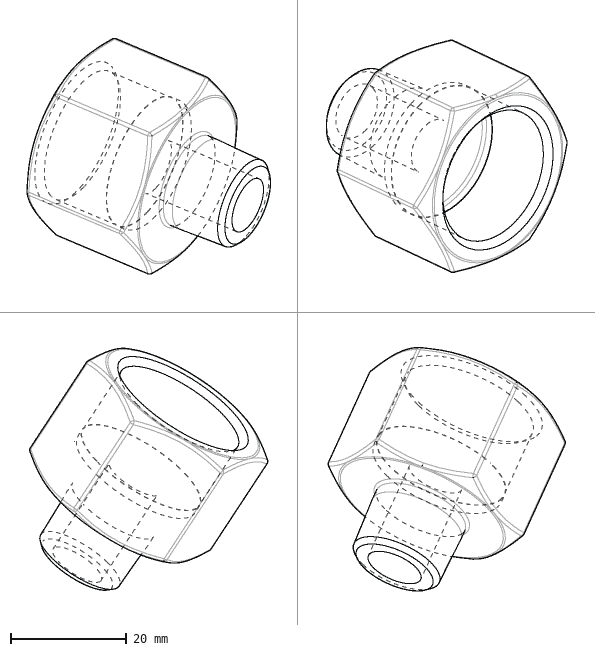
import cadquery as cq
import math

ACROSS_CORNERS = 36.73
HEX_LENGTH = 23.0
EDGE_ROUND = 0.7
END_BEVEL_ANGLE = 30.0
END_FACE_DIAMETER = 30.95
BEVEL_OVERRUN = 0.35

SPIGOT_LENGTH = 12.52
SPIGOT_DIAMETER = 16.9
SPIGOT_STRAIGHT_LENGTH = 2.4
SPIGOT_ROOT_ROUND = 0.5
SPIGOT_TIP_CHAMFER = 0.9
TAPER_ON_DIAMETER = 1 / 16

BORE_DIAMETER = 24.13
BORE_DEPTH = 16.1
BORE_MOUTH_DIAMETER = 26.52
RELIEF_DIAMETER = 24.3
RELIEF_LENGTH = 2.0
RELIEF_FLOOR_ROUND = 0.5

PASSAGE_DIAMETER = 10.0
PASSAGE_EDGE_ROUND = 0.7

TOTAL_LENGTH = HEX_LENGTH + SPIGOT_LENGTH

CORNER_LOSS = 1 / math.cos(math.radians(30)) - 1
SHARP_ACROSS_CORNERS = ACROSS_CORNERS + 2 * EDGE_ROUND * CORNER_LOSS


def revolve_about_x(profile):
    """Turn a closed (x, z) profile in the XZ plane around the X axis, z being the radius."""
    return profile.close().revolve(360, (0, 0, 0), (1, 0, 0))


def make_hex_body():
    hexagon = cq.Workplane("YZ").polygon(6, SHARP_ACROSS_CORNERS).extrude(HEX_LENGTH)
    face_radius = END_FACE_DIAMETER / 2
    corner_radius = SHARP_ACROSS_CORNERS / 2 + BEVEL_OVERRUN
    bevel_depth = (corner_radius - face_radius) * math.tan(math.radians(END_BEVEL_ANGLE))
    bevel_envelope = revolve_about_x(
        cq.Workplane("XZ")
        .lineTo(0, face_radius)
        .lineTo(bevel_depth, corner_radius)
        .lineTo(HEX_LENGTH - bevel_depth, corner_radius)
        .lineTo(HEX_LENGTH, face_radius)
        .lineTo(HEX_LENGTH, 0)
    )
    return hexagon.intersect(bevel_envelope).edges().fillet(EDGE_ROUND)


def make_spigot():
    radius = SPIGOT_DIAMETER / 2
    taper_start = HEX_LENGTH + SPIGOT_STRAIGHT_LENGTH
    chamfer_start = TOTAL_LENGTH - SPIGOT_TIP_CHAMFER
    tip_radius = radius - (chamfer_start - taper_start) * TAPER_ON_DIAMETER / 2
    root_end = HEX_LENGTH + SPIGOT_ROOT_ROUND
    return revolve_about_x(
        cq.Workplane("XZ")
        .moveTo(HEX_LENGTH / 2, 0)
        .lineTo(HEX_LENGTH / 2, radius)
        .lineTo(HEX_LENGTH, radius + SPIGOT_ROOT_ROUND)
        .radiusArc((root_end, radius), -SPIGOT_ROOT_ROUND)
        .lineTo(taper_start, radius)
        .lineTo(chamfer_start, tip_radius)
        .lineTo(TOTAL_LENGTH, tip_radius - SPIGOT_TIP_CHAMFER)
        .lineTo(TOTAL_LENGTH, 0)
    )


def make_cavity():
    mouth_radius = BORE_MOUTH_DIAMETER / 2
    bore_radius = BORE_DIAMETER / 2
    relief_radius = RELIEF_DIAMETER / 2
    passage_radius = PASSAGE_DIAMETER / 2
    relief_start = BORE_DEPTH - RELIEF_LENGTH
    return revolve_about_x(
        cq.Workplane("XZ")
        .lineTo(0, mouth_radius)
        .lineTo(mouth_radius - bore_radius, bore_radius)
        .lineTo(relief_start, bore_radius)
        .lineTo(relief_start, relief_radius)
        .lineTo(BORE_DEPTH - RELIEF_FLOOR_ROUND, relief_radius)
        .radiusArc((BORE_DEPTH, relief_radius - RELIEF_FLOOR_ROUND), RELIEF_FLOOR_ROUND)
        .lineTo(BORE_DEPTH, passage_radius + PASSAGE_EDGE_ROUND)
        .radiusArc((BORE_DEPTH + PASSAGE_EDGE_ROUND, passage_radius), -PASSAGE_EDGE_ROUND)
        .lineTo(TOTAL_LENGTH, passage_radius)
        .lineTo(TOTAL_LENGTH, 0)
    )


result = make_hex_body().union(make_spigot()).cut(make_cavity())